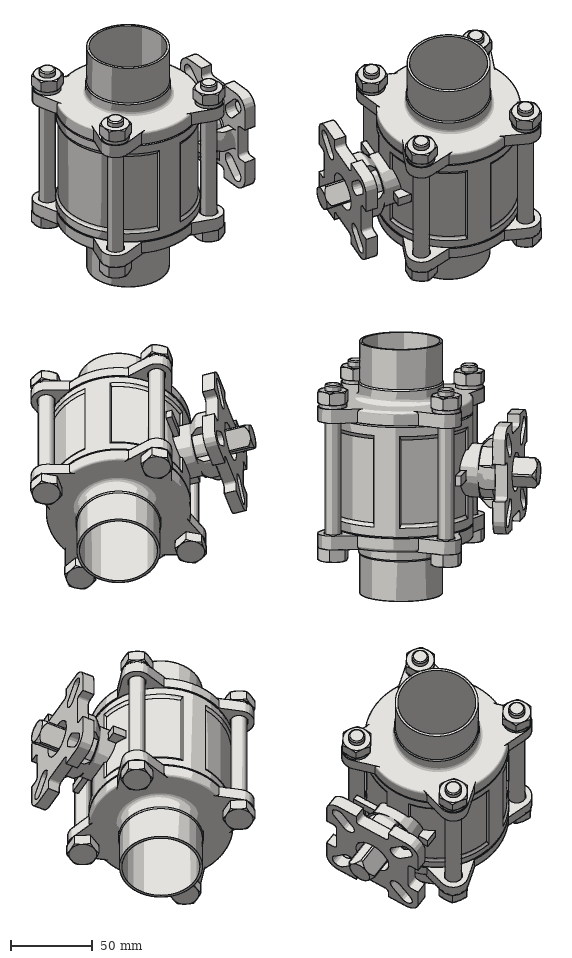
import cadquery as cq
import math


total_length = 158.0
bore_dia = 47.7
pipe_dia = 50.9

neck_dia = 52.1
neck_end_z = 54.0
neck_chamfer_height = 1.0
neck_fillet = 3.8

flange_dia = 88.5
flange_inner_z = 35.4
flange_thickness = 8.7
flange_rim_fillet = 1.9

bolt_offset = 35.4
lug_radius = 9.3
lug_side_angle = 17.5
lug_side_length = 19.0

bolt_dia = 10.0
bolt_hole_dia = 11.0
bolt_tip_z = 58.1
bolt_tip_chamfer = 0.8
hex_across_flats = 17.0
hex_height = 8.0
hex_chamfer_angle = 30.0
washer_dia = 17.0
washer_thickness = 2.2

body_edge_chamfer = 1.0
panel_floor_dia = 86.0
panel_wall_dia = 86.9
panel_top_z = 28.8
panel_wall_z = 27.6
panel_floor_z = 26.4
panel_overcut = 1.6
rib_width = 15.2
rib_foot = 1.0
rib_angles = (0, 90, 180)

boss_dia = 33.0
boss_root_y = 31.6
boss_top_y = 60.0

plate_size = 67.2
plate_back_y = 64.1
plate_thickness = 7.7
plate_corner_radius = 9.2
plate_hole_dia = 23.9
notch_width = 23.4
notch_depth = 7.3
notch_corner_radius = 2.4
slot_width = 9.0
slot_inner_radius = 25.0
slot_outer_radius = 35.0

collar_foot_dia = 36.0
collar_outer_dia = 45.8
collar_flare_y = 49.5
pillar_foot_y = 51.8
pillar_width = 13.7
pillar_round_drop = 2.5
pillar_round_inset = 1.1
pillar_plate_fillet = 1.7

stem_across_flats = 14.2
stem_corner_dia = 18.8
stem_tip_y = 86.0
stem_tip_chamfer = 2.2
stem_seat_depth = 1.6

stop_thickness = 6.3
stop_tab_reach = 23.0
stop_tab_bottom_y = 34.8
stop_tab_top_y = 45.2
stop_arm_reach = 31.9
stop_arm_bottom_y = 40.5
stop_arm_top_y = 44.1

half_length = total_length / 2
flange_outer_z = flange_inner_z + flange_thickness
flange_radius = flange_dia / 2
neck_radius = neck_dia / 2
pipe_radius = pipe_dia / 2
boss_radius = boss_dia / 2
plate_front_y = plate_back_y + plate_thickness


def z_cylinder(diameter, z_start, z_end):
    return cq.Workplane("XY").workplane(offset=z_start).circle(diameter / 2).extrude(z_end - z_start)


def y_cylinder(diameter, y_start, y_end):
    return cq.Workplane("XZ", origin=(0, y_start, 0)).circle(diameter / 2).extrude(y_start - y_end)


def box_between(low, high):
    size = [b - a for a, b in zip(low, high)]
    return cq.Workplane("XY").box(*size, centered=False).translate(low)


def bolt_positions():
    return [(sx * bolt_offset, sy * bolt_offset) for sx in (-1, 1) for sy in (-1, 1)]


def end_cap_core():
    rim_mid = flange_rim_fillet * (1 - math.sqrt(0.5))
    neck_mid = neck_fillet * (1 - math.sqrt(0.5))
    profile = (
        cq.Workplane("XZ")
        .moveTo(0, flange_inner_z)
        .lineTo(flange_radius, flange_inner_z)
        .lineTo(flange_radius, flange_outer_z - flange_rim_fillet)
        .threePointArc(
            (flange_radius - rim_mid, flange_outer_z - rim_mid),
            (flange_radius - flange_rim_fillet, flange_outer_z),
        )
        .lineTo(neck_radius + neck_fillet, flange_outer_z)
        .threePointArc(
            (neck_radius + neck_mid, flange_outer_z + neck_mid),
            (neck_radius, flange_outer_z + neck_fillet),
        )
        .lineTo(neck_radius, neck_end_z - neck_chamfer_height)
        .lineTo(pipe_radius, neck_end_z)
        .lineTo(pipe_radius, half_length)
        .lineTo(0, half_length)
        .close()
    )
    return profile.revolve(360, (0, 0, 0), (0, 1, 0))


def bolt_lug():
    """Lug in the +X+Y corner: rounded tip with straight sides spreading into the flange disc."""
    angle = math.radians(lug_side_angle)
    tangent_x = bolt_offset - lug_radius * math.sin(angle)
    tangent_y = bolt_offset + lug_radius * math.cos(angle)
    root_x = tangent_x - lug_side_length * math.cos(angle)
    root_y = tangent_y - lug_side_length * math.sin(angle)
    tip = bolt_offset + lug_radius * math.sqrt(0.5)
    return (
        cq.Workplane("XY")
        .workplane(offset=flange_inner_z)
        .moveTo(root_x, root_y)
        .lineTo(tangent_x, tangent_y)
        .threePointArc((tip, tip), (tangent_y, tangent_x))
        .lineTo(root_y, root_x)
        .close()
        .extrude(flange_thickness)
    )


def end_cap():
    cap = end_cap_core()
    for quarter in range(4):
        cap = cap.union(bolt_lug().rotate((0, 0, 0), (0, 0, 1), 90 * quarter))
    holes = (
        cq.Workplane("XY")
        .workplane(offset=flange_inner_z)
        .pushPoints(bolt_positions())
        .circle(bolt_hole_dia / 2)
        .extrude(flange_thickness)
    )
    return cap.cut(holes)


def body_panels():
    floor_radius = panel_floor_dia / 2
    wall_radius = panel_wall_dia / 2
    outside = flange_radius + panel_overcut
    ring = (
        cq.Workplane("XZ")
        .polyline([
            (outside, -panel_top_z),
            (flange_radius, -panel_top_z),
            (wall_radius, -panel_wall_z),
            (floor_radius, -panel_floor_z),
            (floor_radius, panel_floor_z),
            (wall_radius, panel_wall_z),
            (flange_radius, panel_top_z),
            (outside, panel_top_z),
        ])
        .close()
        .revolve(360, (0, 0, 0), (0, 1, 0))
    )
    top_half = rib_width / 2
    foot_half = top_half + rib_foot
    foot_x = math.sqrt(floor_radius ** 2 - foot_half ** 2)
    rib = (
        cq.Workplane("XY")
        .workplane(offset=-panel_top_z)
        .polyline([
            (pipe_radius, -foot_half),
            (foot_x, -foot_half),
            (flange_radius, -top_half),
            (outside + panel_overcut, -top_half),
            (outside + panel_overcut, top_half),
            (flange_radius, top_half),
            (foot_x, foot_half),
            (pipe_radius, foot_half),
        ])
        .close()
        .extrude(2 * panel_top_z)
    )
    for angle in rib_angles:
        ring = ring.cut(rib.rotate((0, 0, 0), (0, 0, 1), angle))
    return ring


def centre_body():
    drum = z_cylinder(flange_dia, -flange_inner_z, flange_inner_z).edges().chamfer(body_edge_chamfer)
    return drum.cut(body_panels())


def hexagon(z_start, chamfer_bottom, chamfer_top):
    """Hexagon with corners along X, its chosen end corners turned to a cone."""
    corner_radius = hex_across_flats / math.sqrt(3)
    inset = corner_radius - hex_across_flats / 2
    drop = inset * math.tan(math.radians(hex_chamfer_angle))
    prism = cq.Workplane("XY").polygon(6, 2 * corner_radius).extrude(hex_height)
    envelope = cq.Workplane("XY").circle(corner_radius).extrude(hex_height)
    if chamfer_bottom:
        envelope = envelope.faces("<Z").chamfer(drop, inset)
    if chamfer_top:
        envelope = envelope.faces(">Z").chamfer(drop, inset)
    return prism.intersect(envelope).translate((0, 0, z_start))


def bolt_set():
    nut_z = flange_outer_z + washer_thickness
    head_z = -flange_outer_z - hex_height
    shank = z_cylinder(bolt_dia, head_z + hex_height / 2, bolt_tip_z).faces(">Z").chamfer(bolt_tip_chamfer)
    washer = z_cylinder(washer_dia, flange_outer_z, nut_z)
    head = hexagon(head_z, True, False)
    nut = hexagon(nut_z, True, True)
    return shank.union(head).union(washer).union(nut)


def pillared_collar():
    outer = collar_outer_dia / 2
    foot = collar_foot_dia / 2
    flare_out = foot - boss_radius
    flare_up = pillar_foot_y - collar_flare_y
    flare_radius = (flare_out ** 2 + flare_up ** 2) / (2 * flare_out)
    half_sweep = math.atan2(flare_out, flare_up)
    flare_mid_x = boss_radius + flare_radius * (1 - math.cos(half_sweep))
    flare_mid_y = collar_flare_y + flare_radius * math.sin(half_sweep)
    cone_end = outer - pillar_round_inset
    cone_end_y = pillar_foot_y + cone_end - foot
    round_top_y = cone_end_y + pillar_round_drop
    fillet_mid = pillar_plate_fillet * (1 - math.sqrt(0.5))
    collar = (
        cq.Workplane("XY")
        .moveTo(0, collar_flare_y)
        .lineTo(boss_radius, collar_flare_y)
        .threePointArc((flare_mid_x, flare_mid_y), (foot, pillar_foot_y))
        .lineTo(cone_end, cone_end_y)
        .tangentArcPoint((outer, round_top_y), relative=False)
        .lineTo(outer, plate_back_y - pillar_plate_fillet)
        .threePointArc(
            (outer + fillet_mid, plate_back_y - fillet_mid),
            (outer + pillar_plate_fillet, plate_back_y),
        )
        .lineTo(0, plate_back_y)
        .close()
        .revolve(360, (0, 0, 0), (0, 1, 0))
    )
    half = pillar_width / 2
    reach = collar_outer_dia
    inside = box_between(
        (-boss_radius, pillar_foot_y, -boss_radius),
        (boss_radius, plate_back_y, boss_radius),
    )
    keep = (
        y_cylinder(2 * collar_outer_dia, boss_root_y, pillar_foot_y)
        .union(box_between((-reach, boss_root_y, -half), (reach, plate_front_y, half)))
        .union(box_between((-half, boss_root_y, -reach), (half, plate_front_y, reach)))
    )
    return collar.intersect(keep).cut(inside)


def mounting_plate():
    half = plate_size / 2
    plate = (
        box_between((-half, plate_back_y, -half), (half, plate_front_y, half))
        .edges("|Y")
        .fillet(plate_corner_radius)
    )
    notch = (
        box_between(
            (half - notch_depth, plate_back_y, -notch_width / 2),
            (half + notch_depth, plate_front_y, notch_width / 2),
        )
        .edges("|Y and <X")
        .fillet(notch_corner_radius)
    )
    slot_length = slot_outer_radius - slot_inner_radius + slot_width
    slot = (
        cq.Workplane("XZ", origin=(0, plate_back_y, 0))
        .center((slot_inner_radius + slot_outer_radius) / 2, 0)
        .slot2D(slot_length, slot_width)
        .extrude(-plate_thickness)
    )
    for quarter in range(4):
        plate = plate.cut(notch.rotate((0, 0, 0), (0, 1, 0), 90 * quarter))
        plate = plate.cut(slot.rotate((0, 0, 0), (0, 1, 0), 45 + 90 * quarter))
    return plate.cut(y_cylinder(plate_hole_dia, plate_back_y, plate_front_y))


def stem():
    """Square stem seated in the boss, with corners along X and Z, corners turned down and tip coned."""
    root_y = boss_top_y - stem_seat_depth
    square = (
        cq.Workplane("XZ", origin=(0, root_y, 0))
        .rect(stem_across_flats, stem_across_flats)
        .extrude(root_y - stem_tip_y)
        .rotate((0, 0, 0), (0, 1, 0), 45)
    )
    envelope = y_cylinder(stem_corner_dia, root_y, stem_tip_y).faces(">Y").chamfer(stem_tip_chamfer)
    return square.intersect(envelope)


def stops():
    half = stop_thickness / 2
    tab = box_between((-stop_tab_reach, stop_tab_bottom_y, -half), (0, stop_tab_top_y, half))
    arm = box_between((0, stop_arm_bottom_y, -half), (stop_arm_reach, stop_arm_top_y, half))
    return tab.union(arm)


upper_cap = end_cap()
result = centre_body().union(upper_cap).union(upper_cap.mirror("XY"))
result = result.union(y_cylinder(boss_dia, boss_root_y, boss_top_y))
result = result.union(pillared_collar()).union(mounting_plate()).union(stem()).union(stops())
result = result.cut(z_cylinder(bore_dia, -half_length, half_length))
for bolt_x, bolt_y in bolt_positions():
    result = result.union(bolt_set().translate((bolt_x, bolt_y, 0)))